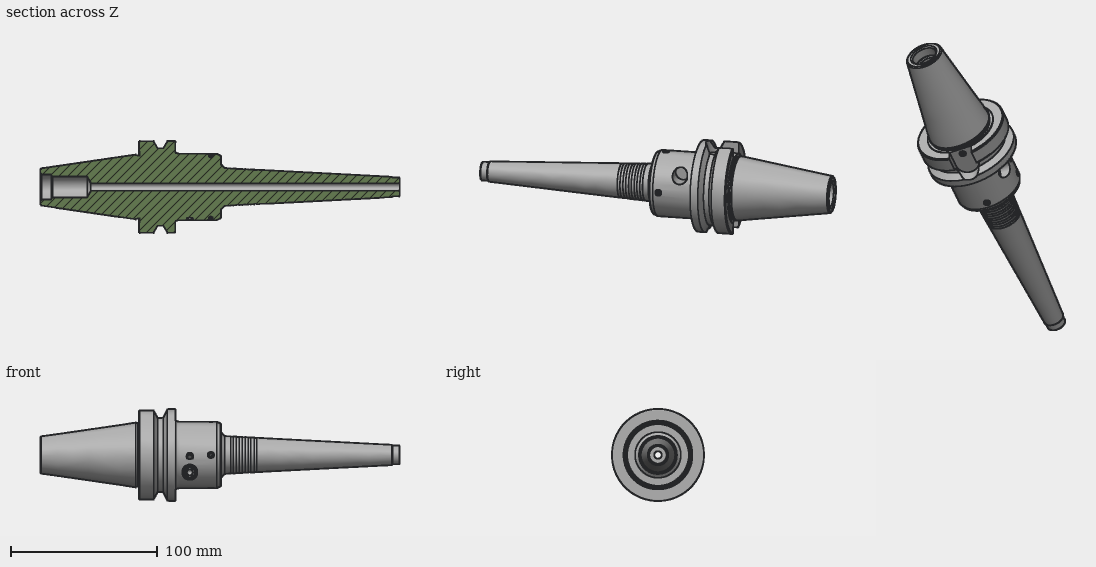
import math

import cadquery as cq


TAPER_LENGTH = 65.4
TAPER_RATE = 7 / 24
GAUGE_RADIUS = 44.45 / 2
TAIL_RADIUS = GAUGE_RADIUS - TAPER_LENGTH * TAPER_RATE / 2
TAIL_CHAMFER = 0.8
RELIEF_RADIUS = GAUGE_RADIUS - 0.4
RELIEF_STEP_X = 1.3
RELIEF_DEEP_RADIUS = GAUGE_RADIUS - 0.7

FLANGE_RADIUS = 63 / 2
FLANGE_START = 2.0
FACE_RECESS_RADIUS = 24.0
FACE_RECESS_DEPTH = 0.5
FLANGE_END = 27.0
FLANGE_FRONT_CHAMFER = 0.7
FLANGE_REAR_ROUNDING = 1.0
GROOVE_CENTRE = 16.7
GROOVE_FLOOR_RADIUS = 53 / 2
GROOVE_FLOOR_WIDTH = 3.7
GROOVE_SIDE_WIDTH = (FLANGE_RADIUS - GROOVE_FLOOR_RADIUS) * math.tan(math.radians(30))

KEYWAY_WIDTH = 16.1
KEYWAY_FLOOR = 22.5
KEYWAY_END = 22.9

HUB_RADIUS = 45.5 / 2
HUB_ROOT_RISE = 0.8
HUB_ROOT_END = 30.0
HUB_ROOT_SAG = 0.25
HUB_EDGE_START = 55.0
HUB_EDGE_END = 57.4
HUB_EDGE_RADIUS = 21.7
HUB_FACE = 58.0
HUB_FACE_OUTER_RADIUS = 21.0
HUB_FACE_INNER_RADIUS = 15.6
SHANK_COLLAR_END = 59.2
SHANK_COLLAR_RADIUS = 14.3

SHANK_START = 60.5
SHANK_ANGLE = 3.0
NOSE_START = 174.4
HOLDER_END = 180.0
SHANK_TIP_RADIUS = 14.1 / 2
NOSE_RADIUS = 13 / 2
NOSE_STEP_LENGTH = 0.6
NOSE_CHAMFER = 0.6
RING_COUNT = 5
RING_WIDTH = 1.9
RING_PITCH = 4.0
RING_DEPTH = 0.2
RING_FIRST = 64.5

MOUTH_RADIUS = 19 / 2
COUNTERBORE_RADIUS = 17 / 2
COUNTERBORE_DEPTH = 7.5
THREAD_MOUTH_RADIUS = 16 / 2
THREAD_RADIUS = 14 / 2
THREAD_DEPTH = 32.0
DRILL_POINT_ANGLE = 118.0
COOLANT_RADIUS = 5 / 2

CLAMP_X = 36.7
CLAMP_OFFSET = 11.8
CLAMP_HOLE_DIAMETER = 10.4
CLAMP_HOLE_BOTTOM = 10.0
CLAMP_HEAD_DIAMETER = 9.0
CLAMP_HEAD_TOP = 14.5
CLAMP_HEAD_TOP_DIAMETER = 6.8
CLAMP_HEX_ACROSS_CORNERS = 4.62
CLAMP_HEX_DEPTH = 2.0
SMALL_SCREW_DIAMETER = 4.5
SMALL_SCREW_TIP_DIAMETER = 3.4
SMALL_SCREW_RECESS = 0.5
SMALL_HEX_ACROSS_CORNERS = 2.31
SMALL_HEX_DEPTH = 1.5
HUB_SCREW_X = 51.1
KEYWAY_SCREW_X = 6.6
BLEED_X = CLAMP_X
BLEED_Z = -0.9
BLEED_TILT = 30.0
BLEED_DIAMETER = 4.5
BLEED_DEPTH = 1.0
BLEED_PILOT_DIAMETER = 3.4
BLEED_PILOT_DEPTH = 8.0

OVERSHOOT = 5.0


def shank_radius(x):
    """Radius of the conical shank at a given X."""
    return SHANK_TIP_RADIUS + (NOSE_START - x) * math.tan(math.radians(SHANK_ANGLE))


def turned_body():
    """Everything that is turned on the outside, still without keyways, holes and bore."""
    tail_x = -TAPER_LENGTH
    floor_start = GROOVE_CENTRE - GROOVE_FLOOR_WIDTH / 2
    floor_end = GROOVE_CENTRE + GROOVE_FLOOR_WIDTH / 2
    root_middle = ((FLANGE_END + HUB_ROOT_END) / 2, HUB_RADIUS + HUB_ROOT_RISE * HUB_ROOT_SAG)
    outline = (
        cq.Workplane("XY")
        .moveTo(tail_x, 0)
        .lineTo(tail_x, TAIL_RADIUS - TAIL_CHAMFER)
        .lineTo(tail_x + TAIL_CHAMFER, TAIL_RADIUS + TAIL_CHAMFER * TAPER_RATE / 2)
        .lineTo(0, GAUGE_RADIUS)
        .lineTo(0, RELIEF_RADIUS)
        .lineTo(RELIEF_STEP_X, RELIEF_RADIUS)
        .lineTo(RELIEF_STEP_X, RELIEF_DEEP_RADIUS)
        .lineTo(FLANGE_START + FACE_RECESS_DEPTH, RELIEF_DEEP_RADIUS)
        .lineTo(FLANGE_START + FACE_RECESS_DEPTH, FACE_RECESS_RADIUS)
        .lineTo(FLANGE_START, FACE_RECESS_RADIUS)
        .lineTo(FLANGE_START, FLANGE_RADIUS - FLANGE_FRONT_CHAMFER)
        .lineTo(FLANGE_START + FLANGE_FRONT_CHAMFER, FLANGE_RADIUS)
        .lineTo(floor_start - GROOVE_SIDE_WIDTH, FLANGE_RADIUS)
        .lineTo(floor_start, GROOVE_FLOOR_RADIUS)
        .lineTo(floor_end, GROOVE_FLOOR_RADIUS)
        .lineTo(floor_end + GROOVE_SIDE_WIDTH, FLANGE_RADIUS)
        .lineTo(FLANGE_END - FLANGE_REAR_ROUNDING, FLANGE_RADIUS)
        .radiusArc((FLANGE_END, FLANGE_RADIUS - FLANGE_REAR_ROUNDING), FLANGE_REAR_ROUNDING)
        .lineTo(FLANGE_END, HUB_RADIUS + HUB_ROOT_RISE)
        .threePointArc(root_middle, (HUB_ROOT_END, HUB_RADIUS))
        .lineTo(HUB_EDGE_START, HUB_RADIUS)
        .lineTo(HUB_EDGE_END, HUB_EDGE_RADIUS)
        .lineTo(HUB_FACE, HUB_FACE_OUTER_RADIUS)
        .lineTo(HUB_FACE, HUB_FACE_INNER_RADIUS)
        .lineTo(SHANK_COLLAR_END, SHANK_COLLAR_RADIUS)
        .lineTo(SHANK_START, shank_radius(SHANK_START))
        .lineTo(NOSE_START, SHANK_TIP_RADIUS)
        .lineTo(NOSE_START + NOSE_STEP_LENGTH, NOSE_RADIUS)
        .lineTo(HOLDER_END - NOSE_CHAMFER, NOSE_RADIUS)
        .lineTo(HOLDER_END, NOSE_RADIUS - NOSE_CHAMFER)
        .lineTo(HOLDER_END, 0)
        .close()
    )
    return outline.revolve(360, (0, 0, 0), (1, 0, 0))


def ring_groove(start):
    """Shallow ring groove that follows the cone of the shank."""
    end = start + RING_WIDTH
    outline = (
        cq.Workplane("XY")
        .moveTo(start, shank_radius(start) - RING_DEPTH)
        .lineTo(start, shank_radius(start) + OVERSHOOT)
        .lineTo(end, shank_radius(end) + OVERSHOOT)
        .lineTo(end, shank_radius(end) - RING_DEPTH)
        .close()
    )
    return outline.revolve(360, (0, 0, 0), (1, 0, 0))


def axial_bore():
    """Drawbar hole with a drilled end, running into the coolant bore through the nose."""
    mouth_x = -TAPER_LENGTH
    chamfer = MOUTH_RADIUS - COUNTERBORE_RADIUS
    thread_chamfer = THREAD_MOUTH_RADIUS - THREAD_RADIUS
    thread_end = mouth_x + THREAD_DEPTH
    point_length = (THREAD_RADIUS - COOLANT_RADIUS) / math.tan(math.radians(DRILL_POINT_ANGLE / 2))
    outline = (
        cq.Workplane("XY")
        .moveTo(mouth_x, 0)
        .lineTo(mouth_x, MOUTH_RADIUS)
        .lineTo(mouth_x + chamfer, COUNTERBORE_RADIUS)
        .lineTo(mouth_x + COUNTERBORE_DEPTH, COUNTERBORE_RADIUS)
        .lineTo(mouth_x + COUNTERBORE_DEPTH, THREAD_MOUTH_RADIUS)
        .lineTo(mouth_x + COUNTERBORE_DEPTH + thread_chamfer, THREAD_RADIUS)
        .lineTo(thread_end, THREAD_RADIUS)
        .lineTo(thread_end + point_length, COOLANT_RADIUS)
        .lineTo(HOLDER_END, COOLANT_RADIUS)
        .lineTo(HOLDER_END, 0)
        .close()
    )
    return outline.revolve(360, (0, 0, 0), (1, 0, 0))


def keyway():
    """Round-ended drive keyway on the +Z side, open towards the taper."""
    half_width = KEYWAY_WIDTH / 2
    arc_centre = KEYWAY_END - half_width
    return (
        cq.Workplane("XY", origin=(0, 0, KEYWAY_FLOOR))
        .moveTo(0, -half_width)
        .lineTo(arc_centre, -half_width)
        .threePointArc((KEYWAY_END, 0), (arc_centre, half_width))
        .lineTo(0, half_width)
        .close()
        .extrude(FLANGE_RADIUS)
    )


def hex_socket(plane, across_corners, depth):
    """Hexagon socket with a conical bottom, sunk below the plane."""
    cone_radius = across_corners * math.cos(math.radians(30)) / 2
    cone_height = cone_radius / math.tan(math.radians(DRILL_POINT_ANGLE / 2))
    socket = cq.Workplane(plane).polygon(6, across_corners).extrude(-depth)
    cone = cq.Solid.makeCone(
        cone_radius,
        0,
        cone_height,
        plane.toWorldCoords((0, 0, -depth)),
        -plane.zDir,
    )
    return socket.union(cq.Workplane(cone))


def small_screw(x, surface):
    """Countersunk recess and hexagon socket of a set screw on the +Z side."""
    head_z = surface - SMALL_SCREW_RECESS
    plane = cq.Plane(origin=(x, 0, head_z), xDir=(1, 0, 0), normal=(0, 0, 1))
    countersink = (
        cq.Workplane(plane)
        .circle(SMALL_SCREW_TIP_DIAMETER / 2)
        .workplane(offset=SMALL_SCREW_RECESS)
        .circle(SMALL_SCREW_DIAMETER / 2)
        .loft()
    )
    clearance = countersink.faces(">Z").workplane().circle(SMALL_SCREW_DIAMETER / 2).extrude(OVERSHOOT)
    return clearance.union(hex_socket(plane, SMALL_HEX_ACROSS_CORNERS, SMALL_HEX_DEPTH))


def clamp_hole():
    """Flat-bottomed hole on the -Y side, offset below the axis."""
    plane = cq.Plane(
        origin=(CLAMP_X, -CLAMP_HOLE_BOTTOM, -CLAMP_OFFSET), xDir=(1, 0, 0), normal=(0, -1, 0)
    )
    return cq.Workplane(plane).circle(CLAMP_HOLE_DIAMETER / 2).extrude(HUB_RADIUS)


def clamp_screw():
    """Clamping screw standing in its hole, with a chamfered head and a hexagon socket."""
    plane = cq.Plane(
        origin=(CLAMP_X, -CLAMP_HEAD_TOP, -CLAMP_OFFSET), xDir=(1, 0, 0), normal=(0, -1, 0)
    )
    head = (
        cq.Workplane(plane)
        .circle(CLAMP_HEAD_DIAMETER / 2)
        .extrude(CLAMP_HOLE_BOTTOM - CLAMP_HEAD_TOP)
        .faces("<Y")
        .chamfer((CLAMP_HEAD_DIAMETER - CLAMP_HEAD_TOP_DIAMETER) / 2)
    )
    return head.cut(hex_socket(plane, CLAMP_HEX_ACROSS_CORNERS, CLAMP_HEX_DEPTH))


def bleed_hole():
    """Stepped hole on the -Y side that slopes down towards the clamping screw."""
    tilt = math.radians(BLEED_TILT)
    surface_y = -math.sqrt(HUB_RADIUS**2 - BLEED_Z**2)
    inward = cq.Vector(0, math.cos(tilt), -math.sin(tilt))
    mouth = cq.Vector(BLEED_X, surface_y, BLEED_Z)
    start = mouth - inward * OVERSHOOT
    wide = cq.Solid.makeCylinder(BLEED_DIAMETER / 2, OVERSHOOT + BLEED_DEPTH, start, inward)
    pilot = cq.Solid.makeCylinder(
        BLEED_PILOT_DIAMETER / 2, OVERSHOOT + BLEED_PILOT_DEPTH, start, inward
    )
    return cq.Workplane(wide).union(cq.Workplane(pilot))


def about_axis(shape, angle):
    """The shape turned about the X axis."""
    return shape.rotate((0, 0, 0), (1, 0, 0), angle)


result = turned_body()
for ring in range(RING_COUNT):
    result = result.cut(ring_groove(RING_FIRST + ring * RING_PITCH))
result = result.cut(axial_bore())
for angle in (0, 180):
    result = result.cut(about_axis(keyway(), angle))
    result = result.cut(about_axis(small_screw(KEYWAY_SCREW_X, KEYWAY_FLOOR), angle))
    result = result.cut(about_axis(clamp_hole(), angle))
for angle in (0, 90, 180, 270):
    result = result.cut(about_axis(small_screw(HUB_SCREW_X, HUB_RADIUS), angle))
result = result.union(clamp_screw())
result = result.cut(bleed_hole())